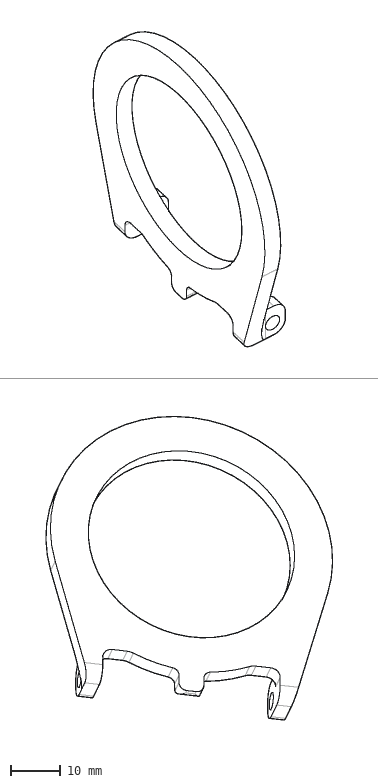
import cadquery as cq
import math

ring_radius = 58.9 / 2
bore_radius = 43.0 / 2
plate_thickness = 4.0
side_angle = math.radians(15)

tab_bottom = ring_radius - 63.5
leg_bottom = tab_bottom + 0.75
leg_inner_x = 18.5
notch_top = -26.55
notch_radius = 2.0
notch_blend_radius = 3.2
tab_half_width = 2.6
tab_corner_radius = 1.65
tab_root_radius = 1.5
edge_round = 3.0

lug_width = 3.05
lug_height = 8.0
lug_reach = 7.0
lug_flare_radius = 2.0
lug_top_radius = 0.95
pin_radius = 1.8
pin_above_bottom = 3.5
pin_from_front = 7.75

lug_outer_x = leg_inner_x + lug_width
lug_top = leg_bottom + lug_height
lug_back = plate_thickness + lug_reach


def side_x(z):
    """Half width of the plate on its straight tangent sides at height z."""
    return (ring_radius + z * math.sin(side_angle)) / math.cos(side_angle)


def extrude_y(sketch, depth):
    """Extrude an XZ sketch from the front face toward +Y."""
    return sketch.extrude(-depth)


def depth_edge_at(x, z):
    """Select the edge parallel to Y that passes through (x, z)."""
    reach = 0.05
    return cq.selectors.BoxSelector(
        (x - reach, -reach, z - reach), (x + reach, plate_thickness + reach, z + reach)
    )


def make_plate():
    tangent_x = ring_radius * math.cos(side_angle)
    tangent_z = -ring_radius * math.sin(side_angle)
    foot_x = side_x(leg_bottom)
    notch_end_x = math.sqrt(ring_radius**2 - notch_top**2)
    tab_root_z = -math.sqrt(ring_radius**2 - tab_half_width**2)
    arc_mid_x = (notch_end_x + tab_half_width) / 2
    arc_mid_z = -math.sqrt(ring_radius**2 - arc_mid_x**2)

    outline = (
        cq.Workplane("XZ")
        .moveTo(-tangent_x, tangent_z)
        .threePointArc((0, ring_radius), (tangent_x, tangent_z))
        .lineTo(foot_x, leg_bottom)
        .lineTo(leg_inner_x, leg_bottom)
        .lineTo(leg_inner_x, notch_top)
        .lineTo(notch_end_x, notch_top)
        .threePointArc((arc_mid_x, arc_mid_z), (tab_half_width, tab_root_z))
        .lineTo(tab_half_width, tab_bottom)
        .lineTo(-tab_half_width, tab_bottom)
        .lineTo(-tab_half_width, tab_root_z)
        .threePointArc((-arc_mid_x, arc_mid_z), (-notch_end_x, notch_top))
        .lineTo(-leg_inner_x, notch_top)
        .lineTo(-leg_inner_x, leg_bottom)
        .lineTo(-foot_x, leg_bottom)
        .close()
    )
    plate = extrude_y(outline, plate_thickness)
    corners = [
        (leg_inner_x, notch_top, notch_radius),
        (notch_end_x, notch_top, notch_blend_radius),
        (tab_half_width, tab_root_z, tab_root_radius),
        (tab_half_width, tab_bottom, tab_corner_radius),
    ]
    for x, z, radius in corners:
        for side in (-1, 1):
            plate = plate.edges(depth_edge_at(side * x, z)).fillet(radius)

    bore = extrude_y(cq.Workplane("XZ").circle(bore_radius), plate_thickness)
    return plate.cut(bore)


def edge_round_cutter(edge_y, bottom_z, inward, x_min, x_max):
    """Waste outside a rounded lower edge; inward is the Y direction into the part."""
    center_y = edge_y + inward * edge_round
    center_z = bottom_z + edge_round
    diagonal = edge_round * math.sqrt(0.5)
    return (
        cq.Workplane("YZ", origin=(x_min, 0, 0))
        .moveTo(edge_y, bottom_z)
        .lineTo(center_y, bottom_z)
        .threePointArc((center_y - inward * diagonal, center_z - diagonal), (edge_y, center_z))
        .close()
        .extrude(x_max - x_min)
    )


def make_lug():
    """Right-hand lug with its pin hole and the blends into the plate."""
    lug = (
        cq.Workplane("XY")
        .box(lug_width, lug_back, lug_height, centered=False)
        .translate((leg_inner_x, 0, leg_bottom))
        .edges("|X and >Y")
        .fillet(edge_round)
    )
    diagonal = math.sqrt(0.5)
    flare_x = lug_outer_x + lug_flare_radius
    flare_y = plate_thickness + lug_flare_radius
    flare = (
        cq.Workplane("XY", origin=(0, 0, leg_bottom))
        .moveTo(leg_inner_x, 0)
        .lineTo(flare_x, 0)
        .lineTo(flare_x, plate_thickness)
        .threePointArc(
            (flare_x - lug_flare_radius * diagonal, flare_y - lug_flare_radius * diagonal),
            (lug_outer_x, flare_y),
        )
        .lineTo(leg_inner_x, flare_y)
        .close()
        .extrude(lug_height)
    )
    side_trim = extrude_y(
        cq.Workplane("XZ").polyline([
            (leg_inner_x, leg_bottom),
            (side_x(leg_bottom), leg_bottom),
            (side_x(lug_top), lug_top),
            (leg_inner_x, lug_top),
        ]).close(),
        lug_back,
    )
    blend_y = plate_thickness + lug_top_radius
    blend_z = lug_top + lug_top_radius
    top_blend = (
        cq.Workplane("YZ", origin=(leg_inner_x, 0, 0))
        .moveTo(plate_thickness, lug_top)
        .lineTo(blend_y, lug_top)
        .threePointArc(
            (blend_y - lug_top_radius * diagonal, blend_z - lug_top_radius * diagonal),
            (plate_thickness, blend_z),
        )
        .close()
        .extrude(lug_width)
    )
    pin_hole = (
        cq.Workplane("YZ", origin=(leg_inner_x, 0, 0))
        .center(pin_from_front, leg_bottom + pin_above_bottom)
        .circle(pin_radius)
        .extrude(lug_width + lug_flare_radius)
    )
    return lug.union(flare.intersect(side_trim)).union(top_blend).cut(pin_hole)


right_lug = make_lug()
left_lug = right_lug.mirror("YZ")
leg_round = edge_round_cutter(0, leg_bottom, 1, leg_inner_x, ring_radius)
tab_round = edge_round_cutter(plate_thickness, tab_bottom, -1, -tab_half_width, tab_half_width)

result = (
    make_plate()
    .union(right_lug)
    .union(left_lug)
    .cut(leg_round)
    .cut(leg_round.mirror("YZ"))
    .cut(tab_round)
)